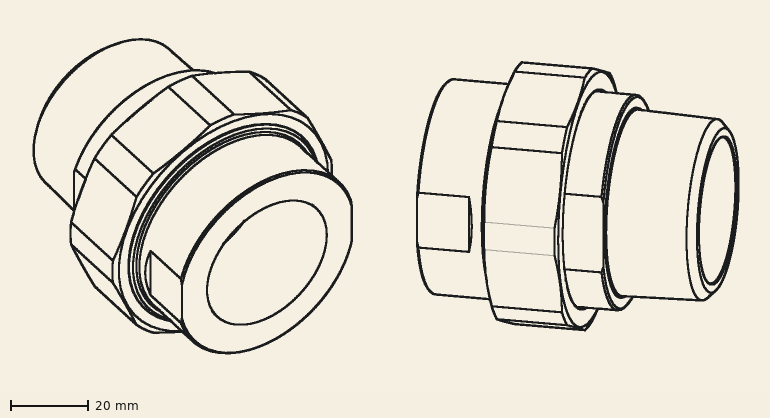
import cadquery as cq
import math

total_length = 73.5
bore_diameter = 38.0
bore_chamfer = 0.3

nose_diameter = 47.2
nose_chamfer = 2.2
taper_end_diameter = 48.5
taper_end_x = 23.5
flare_diameter = 49.5
shoulder_x = 23.8
body_diameter = 56.0
edge_chamfer = 0.5
tail_flats_width = 52.05

nut_start_x = 34.0
nut_length = 20.0
nut_end_x = nut_start_x + nut_length
nut_diameter = 69.7
nut_flats_width = 66.9
nut_sides = 8
nut_face_diameter = 66.4
nut_chamfer_length = 0.6
nut_mouth_diameter = 56.5
nut_mouth_chamfer = 0.4
lip_thickness = 2.95
lip_end_x = nut_start_x + lip_thickness

collar_diameter = 60.35
joint_x = (nut_start_x + nut_end_x) / 2

collar_end_x = 55.05
collar_chamfer = 0.7
neck_diameter = 56.75
neck_end_x = 55.85
barrel_end_chamfer = 0.45
socket_flats_width = 53.95
socket_flats_start_x = 59.5


def revolve_profile(points):
    """Solid of revolution about X from (x, radius) points."""
    return cq.Workplane("XY").polyline(points).close().revolve(360, (0, 0, 0), (1, 0, 0))


def side_block(x_start, x_end, y_inner, side):
    """Block beyond y_inner on one Y side, used to cut a flat."""
    reach = nut_diameter / 2
    return cq.Workplane("XY").box(x_end - x_start, reach, nut_diameter).translate(
        ((x_start + x_end) / 2, side * (y_inner + reach / 2), 0)
    )


def make_tailpiece():
    bore_radius = bore_diameter / 2
    nose_radius = nose_diameter / 2
    body_radius = body_diameter / 2
    flange_radius = collar_diameter / 2
    tailpiece = revolve_profile([
        (0, bore_radius + bore_chamfer),
        (0, nose_radius - nose_chamfer),
        (nose_chamfer, nose_radius),
        (taper_end_x, taper_end_diameter / 2),
        (shoulder_x, flare_diameter / 2),
        (shoulder_x, body_radius - edge_chamfer),
        (shoulder_x + edge_chamfer, body_radius),
        (lip_end_x, body_radius),
        (lip_end_x, flange_radius),
        (joint_x, flange_radius),
        (joint_x, bore_radius),
        (bore_chamfer, bore_radius),
    ])
    for side in (-1, 1):
        tailpiece = tailpiece.cut(side_block(shoulder_x, lip_end_x, tail_flats_width / 2, side))
    return tailpiece.solids()


def make_nut():
    mouth_radius = nut_mouth_diameter / 2
    collar_radius = collar_diameter / 2
    outer_radius = nut_diameter / 2
    face_radius = nut_face_diameter / 2
    nut = revolve_profile([
        (nut_start_x, mouth_radius + nut_mouth_chamfer),
        (nut_start_x, face_radius),
        (nut_start_x + nut_chamfer_length, outer_radius),
        (nut_end_x - nut_chamfer_length, outer_radius),
        (nut_end_x, face_radius),
        (nut_end_x, collar_radius),
        (lip_end_x, collar_radius),
        (lip_end_x, mouth_radius),
        (nut_start_x + nut_mouth_chamfer, mouth_radius),
    ])
    octagon_diameter = nut_flats_width / math.cos(math.pi / nut_sides)
    octagon = (
        cq.Workplane("YZ", origin=(nut_start_x, 0, 0))
        .polygon(nut_sides, octagon_diameter)
        .extrude(nut_length)
    )
    return nut.intersect(octagon).solids()


def make_socket_end():
    bore_radius = bore_diameter / 2
    body_radius = body_diameter / 2
    collar_radius = collar_diameter / 2
    socket_end = revolve_profile([
        (joint_x, bore_radius),
        (joint_x, collar_radius),
        (collar_end_x - collar_chamfer, collar_radius),
        (collar_end_x, collar_radius - collar_chamfer),
        (collar_end_x, neck_diameter / 2),
        (neck_end_x, body_radius),
        (total_length - barrel_end_chamfer, body_radius),
        (total_length, body_radius - barrel_end_chamfer),
        (total_length, bore_radius),
    ])
    flat_depth = (body_diameter - socket_flats_width) / 2
    for side in (-1, 1):
        flat_y = side * socket_flats_width / 2
        surface_y = side * body_diameter / 2
        cutter = (
            cq.Workplane("XY", origin=(0, 0, -body_diameter / 2))
            .polyline([
                (socket_flats_start_x - flat_depth, surface_y),
                (socket_flats_start_x, flat_y),
                (total_length, flat_y),
                (total_length, surface_y),
            ])
            .close()
            .extrude(body_diameter)
        )
        socket_end = socket_end.cut(cutter)
    return socket_end.solids()


tailpiece = make_tailpiece()
nut = make_nut()
socket_end = make_socket_end()

result = cq.Compound.makeCompound([tailpiece.val(), nut.val(), socket_end.val()])